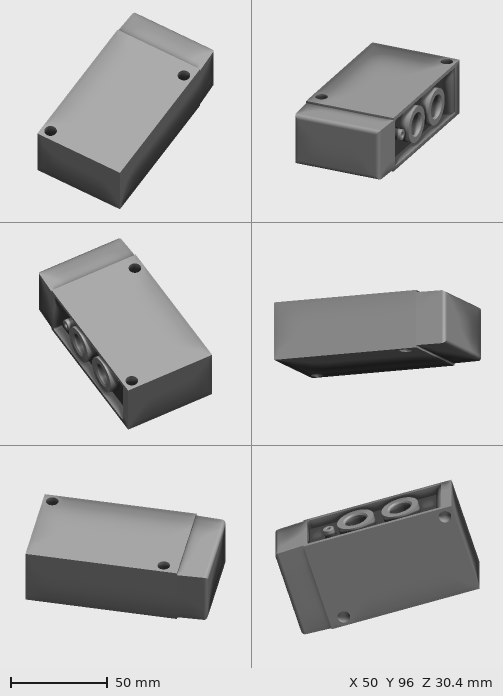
import cadquery as cq
import math

body_width = 50.0
body_length = 80.0
body_height = 30.4
mid_height = body_height / 2

overall_length = 96.0
cap_height = 28.0
cap_end_width = 48.6
cap_fillet = 2.1

mount_hole_diameter = 6.5
mount_hole_inset = 5.0
front_hole_y = 5.0
rear_hole_y = 72.0
mount_wall_diameter = 8.57

recess_depth = 5.0
recess_front_y = 5.5
recess_rear_y = 78.0
recess_height = 26.2
recess_corner_radius = 1.0

port_positions_y = (28.0, 52.0)
collar_diameter = 19.73
bore_diameter = 11.45
bore_mouth_diameter = 13.16
bore_depth = 15.0

pin_y = 67.0
pin_diameter = 5.8
pin_tip_chamfer = 0.2
pin_hole_diameter = 2.46
pin_hole_mouth_diameter = 3.0
pin_hole_depth = 5.0
seat_diameter = 5.9
seat_mouth_diameter = 6.9

collar_face_x = 0.0
pin_face_x = 1.0

countersink_half_angle = 45.0


def side_cylinder(diameter, start_x, length, y):
    """Cylinder along +X at mid height."""
    plane = cq.Workplane("YZ", origin=(start_x, y, mid_height))
    return plane.circle(diameter / 2).extrude(length)


def countersink_depth(mouth_diameter, end_diameter):
    return (mouth_diameter - end_diameter) / 2 / math.tan(math.radians(countersink_half_angle))


def side_countersink(mouth_diameter, end_diameter, start_x, y):
    """Cone along +X at mid height that narrows from the mouth to the end diameter."""
    depth = countersink_depth(mouth_diameter, end_diameter)
    plane = cq.Workplane("YZ", origin=(start_x, y, mid_height))
    return plane.circle(mouth_diameter / 2).extrude(depth, taper=countersink_half_angle)


def vertical_cylinder(diameter, x, y):
    """Cylinder through the full height of the body."""
    return cq.Workplane("XY").center(x, y).circle(diameter / 2).extrude(body_height)


def make_body():
    return cq.Workplane("XY").box(body_width, body_length, body_height, centered=False)


def make_cap():
    side_inset = (body_width - cap_end_width) / 2
    outline = [
        (0, body_length),
        (body_width, body_length),
        (body_width - side_inset, overall_length),
        (side_inset, overall_length),
    ]
    bottom_z = mid_height - cap_height / 2
    cap = cq.Workplane("XY", origin=(0, 0, bottom_z)).polyline(outline).close().extrude(cap_height)
    return cap.faces(">Y").edges().fillet(cap_fillet)


def make_recess():
    """Pocket volume, leaving a round wall around the front mounting hole."""
    recess_length = recess_rear_y - recess_front_y
    recess_mid_y = (recess_front_y + recess_rear_y) / 2
    recess = (
        cq.Workplane("YZ", origin=(0, recess_mid_y, mid_height))
        .rect(recess_length, recess_height)
        .extrude(recess_depth)
        .edges("|X")
        .fillet(recess_corner_radius)
    )
    return recess.cut(vertical_cylinder(mount_wall_diameter, mount_hole_inset, front_hole_y))


def add_port(part, y):
    collar = side_cylinder(collar_diameter, collar_face_x, recess_depth - collar_face_x, y)
    bore = side_cylinder(bore_diameter, collar_face_x, bore_depth, y)
    mouth = side_countersink(bore_mouth_diameter, bore_diameter, collar_face_x, y)
    return part.union(collar).cut(bore).cut(mouth)


def add_pin(part):
    seat_depth = countersink_depth(seat_mouth_diameter, seat_diameter)
    pin_length = recess_depth + seat_depth - pin_face_x
    pin = side_cylinder(pin_diameter, pin_face_x, pin_length, pin_y)
    pin = pin.faces("<X").chamfer(pin_tip_chamfer)
    seat = side_countersink(seat_mouth_diameter, seat_diameter, recess_depth, pin_y)
    hole = side_cylinder(pin_hole_diameter, pin_face_x, pin_hole_depth, pin_y)
    mouth = side_countersink(pin_hole_mouth_diameter, pin_hole_diameter, pin_face_x, pin_y)
    return part.cut(seat).union(pin).cut(hole).cut(mouth)


def cut_mount_holes(part):
    front_hole = vertical_cylinder(mount_hole_diameter, mount_hole_inset, front_hole_y)
    rear_hole = vertical_cylinder(mount_hole_diameter, body_width - mount_hole_inset, rear_hole_y)
    return part.cut(front_hole).cut(rear_hole)


result = make_body().union(make_cap()).cut(make_recess())
for port_y in port_positions_y:
    result = add_port(result, port_y)
result = add_pin(result)
result = cut_mount_holes(result)